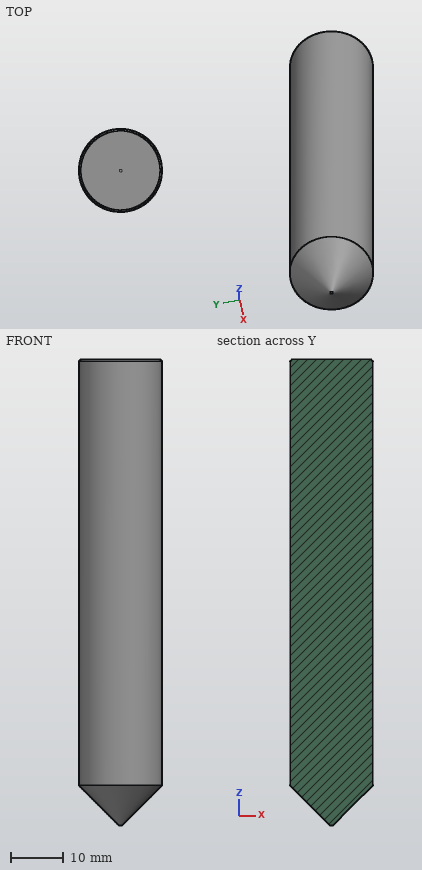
import cadquery as cq

total_length = 88.9
diameter = 15.9
top_chamfer = 0.4
tip_flat_radius = 0.3

radius = diameter / 2
cone_height = radius - tip_flat_radius

half_section = (
    cq.Workplane("XZ")
    .moveTo(0, 0)
    .lineTo(tip_flat_radius, 0)
    .lineTo(radius, cone_height)
    .lineTo(radius, total_length - top_chamfer)
    .lineTo(radius - top_chamfer, total_length)
    .lineTo(0, total_length)
    .close()
)
result = half_section.revolve(360, (0, 0, 0), (0, 1, 0))